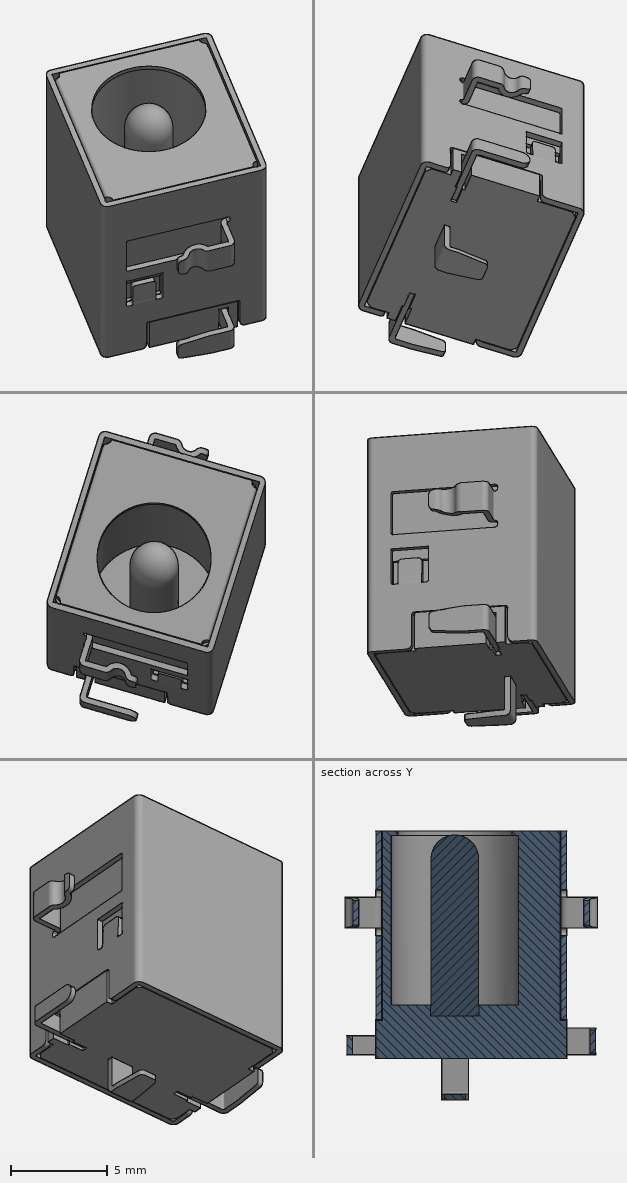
import cadquery as cq
import math

SHELL_X = 9.9
SHELL_Y = 9.0
SHELL_Z = 11.8
SHEET = 0.3
SHELL_CORNER = 0.35
WALL_X = SHELL_X / 2
WALL_INNER_X = WALL_X - SHEET
CUT_MARGIN = 0.07
WALL_CUT_X = (-WALL_X - CUT_MARGIN, -WALL_INNER_X + CUT_MARGIN)

CLIP_SPAN = 13.1
CLIP_Z = 7.56
CLIP_WIDTH = 1.6
CLIP_WINDOW_HEIGHT = 2.37
CLIP_WINDOW_Y_MIN = -3.2
CLIP_RELIEF_OVERRUN = 0.15
CLIP_RELIEF_RADIUS = 0.17
WINDOW_CORNER = 0.13
CLIP_ROOT_RADIUS = 0.04
CLIP_BEND_RADIUS = 0.01
DIMPLE_Y = 0.14
DIMPLE_HALF_LENGTH = 0.71
DIMPLE_DEPTH = 0.42
DIMPLE_RADIUS = 0.6
CLIP_TIP_WIDTH = 0.99
CLIP_TIP_RADIUS = 0.24

FOOT_BACK_Y = 2.26
FOOT_TIP_Y = -0.86

LATCH_Y = -2.2
LATCH_WINDOW_WIDTH = 1.98
LATCH_WINDOW_Z_MIN = 3.63
LATCH_WINDOW_Z_MAX = 5.6
TONGUE_WIDTH = 1.25
TONGUE_BEND_Z = 3.77
TONGUE_TOP_Z = 5.02
TONGUE_BEND_INSET = 0.01
TONGUE_TOP_INSET = 0.07
TONGUE_CORNER = 0.2

CUTOUT_Y_MIN = -2.1
CUTOUT_Y_MAX = 2.99
CUTOUT_HEIGHT = 2.02
CUTOUT_CORNER = 0.17
CUTOUT_FLARE = 0.28

HOUSING_GAP = 0.04
HOUSING_X = SHELL_X - 2 * (SHEET + HOUSING_GAP)
HOUSING_Y = SHELL_Y - 2 * (SHEET + HOUSING_GAP)
HOUSING_TOP_Z = SHELL_Z
HOUSING_CORNER = 0.27
TOP_EDGE_RADIUS = 0.2
CORNER_NOTCH_RADIUS = 0.33
CORNER_NOTCH_DEPTH = 0.5
BOSS_SIDE_GAP = 0.15
BOSS_TOP_GAP = 0.04
LATCH_POCKET_DEPTH = 0.2
SLOT_Y_MIN = 1.83
SLOT_Y_MAX = 2.36
SLOT_HEIGHT = 1.66
SLOT_DEPTH = 0.98

SOCKET_X = -0.85
SOCKET_Y = -0.14
MOUTH_RADIUS = 2.96
MOUTH_LIP = 0.25
SOCKET_RADIUS = 3.29
SOCKET_FLOOR_Z = 2.79
PIN_RADIUS = 1.25
PIN_RECESS = 0.2
PIN_TOP_Z = HOUSING_TOP_Z - PIN_RECESS
PIN_BOTTOM_Z = 2.23

TERMINAL_SPAN = 12.92
TERMINAL_BOTTOM_Z = 0.2
LEFT_TERMINAL_WIDTH = 0.99
WIDE_TERMINAL_WIDTH = 1.4
TERMINAL_BEND_RADIUS = 0.1
TERMINAL_END_X = 3.07
SIDE_ARM = TERMINAL_SPAN / 2 - TERMINAL_END_X
SIDE_FOOT = FOOT_BACK_Y - FOOT_TIP_Y
TERMINAL_TAPER_LENGTH = 1.79
TERMINAL_TIP_WIDTH = 1.03
TERMINAL_TIP_RADIUS = 0.24

BOTTOM_TERMINAL_X = -0.84
BOTTOM_TERMINAL_BACK_Y = 2.05
BOTTOM_TERMINAL_TIP_Y = -0.46
BOTTOM_TERMINAL_DROP = 2.15
BOTTOM_TERMINAL_TOP_Z = 1.4


def box(x_range, y_range, z_range):
    """Axis-aligned block given by its limits."""
    (x0, x1), (y0, y1), (z0, z1) = x_range, y_range, z_range
    return cq.Workplane("XY").box(x1 - x0, y1 - y0, z1 - z0, centered=False).translate((x0, y0, z0))


def around(centre, width):
    """Limits of a span of the given width about its centre."""
    return (centre - width / 2, centre + width / 2)


def mirror_x(body):
    return body.mirror("YZ")


def with_mirror_x(body):
    return body.union(mirror_x(body))


def tapered_foot(root, taper_start, tip, width, tip_width, tip_radius):
    """Closed outline of a strip along the first axis, narrowing to a round-cornered tip."""
    return (
        cq.Sketch()
        .polygon([
            (root, -width / 2),
            (taper_start, -width / 2),
            (tip, -tip_width / 2),
            (tip, tip_width / 2),
            (taper_start, width / 2),
            (root, width / 2),
            (root, -width / 2),
        ])
        .vertices("<X")
        .fillet(tip_radius)
    )



def clip():
    """Left board clip: leaves the wall, turns down -Y and has an inward dimple near its tip."""
    half = SHEET / 2
    root_bend = CLIP_ROOT_RADIUS + half
    foot_bend = CLIP_BEND_RADIUS + half
    root_x = -WALL_X + half
    root_y = FOOT_BACK_Y - half + root_bend
    arm_y = FOOT_BACK_Y - half
    foot_x = -CLIP_SPAN / 2 + half
    diagonal = math.sqrt(0.5)

    turn = 2 * math.atan(DIMPLE_DEPTH / DIMPLE_HALF_LENGTH)
    dimple_x = foot_x + DIMPLE_DEPTH
    dimple_centre_x = dimple_x - DIMPLE_RADIUS
    shoulder_radius = DIMPLE_HALF_LENGTH / math.sin(turn) - DIMPLE_RADIUS
    join_x = dimple_centre_x + DIMPLE_RADIUS * math.cos(turn)
    join_dy = DIMPLE_RADIUS * math.sin(turn)
    shoulder_x = foot_x + shoulder_radius * (1 - math.cos(turn / 2))
    shoulder_dy = DIMPLE_HALF_LENGTH - shoulder_radius * math.sin(turn / 2)

    path = (
        cq.Workplane("XY")
        .moveTo(root_x, root_y)
        .threePointArc(
            (root_x - root_bend * (1 - diagonal), root_y - root_bend * diagonal),
            (root_x - root_bend, arm_y),
        )
        .lineTo(foot_x + foot_bend, arm_y)
        .threePointArc(
            (foot_x + foot_bend * (1 - diagonal), arm_y - foot_bend * (1 - diagonal)),
            (foot_x, arm_y - foot_bend),
        )
        .lineTo(foot_x, DIMPLE_Y + DIMPLE_HALF_LENGTH)
        .threePointArc((shoulder_x, DIMPLE_Y + shoulder_dy), (join_x, DIMPLE_Y + join_dy))
        .threePointArc((dimple_x, DIMPLE_Y), (join_x, DIMPLE_Y - join_dy))
        .threePointArc((shoulder_x, DIMPLE_Y - shoulder_dy), (foot_x, DIMPLE_Y - DIMPLE_HALF_LENGTH))
        .lineTo(foot_x, FOOT_TIP_Y)
    )
    strip = cq.Workplane("XZ", origin=(root_x, root_y, 0)).rect(SHEET, CLIP_WIDTH).sweep(path)
    outline = tapered_foot(
        root_y, DIMPLE_Y + DIMPLE_HALF_LENGTH, FOOT_TIP_Y, CLIP_WIDTH, CLIP_TIP_WIDTH, CLIP_TIP_RADIUS
    )
    blank = cq.Workplane("YZ").placeSketch(outline).extrude(CLIP_SPAN, both=True)
    return strip.intersect(blank).translate((0, 0, CLIP_Z))


def clip_window():
    """Opening left by the clip, with a rounded relief on each side of its root."""
    root_y = FOOT_BACK_Y + CLIP_ROOT_RADIUS
    window = box(WALL_CUT_X, (CLIP_WINDOW_Y_MIN, root_y), around(CLIP_Z, CLIP_WINDOW_HEIGHT))
    window = window.edges("|X and <Y").fillet(WINDOW_CORNER)
    relief_height = (CLIP_WINDOW_HEIGHT - CLIP_WIDTH) / 2
    relief_offset = (CLIP_WIDTH + relief_height) / 2
    for side in (-1, 1):
        relief = box(
            WALL_CUT_X,
            (root_y - 2 * relief_height, root_y + CLIP_RELIEF_OVERRUN),
            around(CLIP_Z + side * relief_offset, relief_height),
        )
        window = window.union(relief.edges("|X and >Y").fillet(CLIP_RELIEF_RADIUS))
    return window


def latch_tongue():
    """Left latch tongue: a tab tied to the wall at its bottom and leaning into the housing."""
    profile = [
        (-WALL_X, LATCH_WINDOW_Z_MIN),
        (-WALL_X + TONGUE_BEND_INSET, TONGUE_BEND_Z),
        (-WALL_X + TONGUE_TOP_INSET, TONGUE_TOP_Z),
        (-WALL_INNER_X + TONGUE_TOP_INSET, TONGUE_TOP_Z),
        (-WALL_INNER_X + TONGUE_BEND_INSET, TONGUE_BEND_Z),
        (-WALL_INNER_X, LATCH_WINDOW_Z_MIN),
    ]
    tongue = cq.Workplane("XZ", origin=(0, LATCH_Y, 0)).polyline(profile).close()
    tongue = tongue.extrude(TONGUE_WIDTH / 2, both=True)
    return tongue.faces(">Z").edges("|X").fillet(TONGUE_CORNER)


def latch_opening():
    """Window for the latch: the tongue's own area, framed by slots with rounded lower corners."""
    z_range = (LATCH_WINDOW_Z_MIN, LATCH_WINDOW_Z_MAX)
    window = box(WALL_CUT_X, around(LATCH_Y, LATCH_WINDOW_WIDTH), z_range)
    tongue_area = box(WALL_CUT_X, around(LATCH_Y, TONGUE_WIDTH), (LATCH_WINDOW_Z_MIN, TONGUE_TOP_Z))
    slots = window.cut(tongue_area).edges("|X and <Z").fillet(WINDOW_CORNER)
    return slots.union(tongue_area)


def terminal_cutout():
    """Opening at the bottom edge of the left wall, with flared lower corners."""
    bend = CUTOUT_FLARE * (1 - math.sqrt(0.5))
    outline = (
        cq.Workplane("YZ", origin=(-WALL_X - CUT_MARGIN, 0, 0))
        .moveTo(CUTOUT_Y_MIN - CUTOUT_FLARE, 0)
        .threePointArc((CUTOUT_Y_MIN - bend, bend), (CUTOUT_Y_MIN, CUTOUT_FLARE))
        .lineTo(CUTOUT_Y_MIN, CUTOUT_HEIGHT)
        .lineTo(CUTOUT_Y_MAX, CUTOUT_HEIGHT)
        .lineTo(CUTOUT_Y_MAX, CUTOUT_FLARE)
        .threePointArc((CUTOUT_Y_MAX + bend, bend), (CUTOUT_Y_MAX + CUTOUT_FLARE, 0))
        .close()
    )
    return outline.extrude(SHEET + 2 * CUT_MARGIN).faces(">Z").edges("|X").fillet(CUTOUT_CORNER)


def make_shell():
    tube = cq.Workplane("XY").rect(SHELL_X, SHELL_Y).extrude(SHELL_Z)
    tube = tube.edges("|Z").fillet(SHELL_CORNER)
    bore = cq.Workplane("XY").rect(SHELL_X - 2 * SHEET, SHELL_Y - 2 * SHEET).extrude(SHELL_Z)
    bore = bore.edges("|Z").fillet(SHELL_CORNER - SHEET)
    shell = tube.cut(bore)
    for opening in (clip_window(), latch_opening(), terminal_cutout()):
        shell = shell.cut(with_mirror_x(opening))
    for tab in (clip(), latch_tongue()):
        shell = shell.union(tab).union(mirror_x(tab))
    return shell



def bent_strip(arm_length, foot_length, width):
    """L-shaped strip: outer corner at the origin, arm along +X, foot along -Y, width centred on Z."""
    strip = (
        cq.Workplane("XY")
        .polyline([
            (0, 0),
            (arm_length, 0),
            (arm_length, -SHEET),
            (SHEET, -SHEET),
            (SHEET, -foot_length),
            (0, -foot_length),
        ])
        .close()
        .extrude(width / 2, both=True)
    )
    inner_corner = cq.selectors.NearestToPointSelector((SHEET, -SHEET, 0))
    outer_corner = cq.selectors.NearestToPointSelector((0, 0, 0))
    strip = strip.edges("|Z").edges(inner_corner).fillet(TERMINAL_BEND_RADIUS)
    return strip.edges("|Z").edges(outer_corner).fillet(SHEET)


def wide_strip(arm_length, foot_length):
    """Wide bent strip whose foot tapers to a round-cornered tip."""
    outline = tapered_foot(
        0,
        TERMINAL_TAPER_LENGTH - foot_length,
        -foot_length,
        WIDE_TERMINAL_WIDTH,
        TERMINAL_TIP_WIDTH,
        TERMINAL_TIP_RADIUS,
    )
    blank = cq.Workplane("YZ").placeSketch(outline).extrude(arm_length)
    return bent_strip(arm_length, foot_length, WIDE_TERMINAL_WIDTH).intersect(blank)


def narrow_strip(arm_length, foot_length):
    """Narrow bent strip whose foot ends in a half circle."""
    tip_radius = LEFT_TERMINAL_WIDTH / 2
    outline = (
        cq.Workplane("YZ")
        .moveTo(0, tip_radius)
        .lineTo(tip_radius - foot_length, tip_radius)
        .threePointArc((-foot_length, 0), (tip_radius - foot_length, -tip_radius))
        .lineTo(0, -tip_radius)
        .close()
    )
    return bent_strip(arm_length, foot_length, LEFT_TERMINAL_WIDTH).intersect(outline.extrude(arm_length))


def place_on_left(strip, width):
    return strip.translate((-TERMINAL_SPAN / 2, FOOT_BACK_Y, TERMINAL_BOTTOM_Z + width / 2))


def make_left_terminal():
    return place_on_left(narrow_strip(SIDE_ARM, SIDE_FOOT), LEFT_TERMINAL_WIDTH)


def make_right_terminal():
    return mirror_x(place_on_left(wide_strip(SIDE_ARM, SIDE_FOOT), WIDE_TERMINAL_WIDTH))


def make_bottom_terminal():
    strip = wide_strip(
        BOTTOM_TERMINAL_DROP + BOTTOM_TERMINAL_TOP_Z, BOTTOM_TERMINAL_BACK_Y - BOTTOM_TERMINAL_TIP_Y
    )
    upright = strip.rotate((0, 0, 0), (0, 1, 0), -90)
    return upright.translate((BOTTOM_TERMINAL_X, BOTTOM_TERMINAL_BACK_Y, -BOTTOM_TERMINAL_DROP))



def make_pin():
    """Centre pin with a hemispherical tip."""
    shank_top = PIN_TOP_Z - PIN_RADIUS
    profile = (
        cq.Workplane("XZ")
        .moveTo(0, PIN_BOTTOM_Z)
        .lineTo(PIN_RADIUS, PIN_BOTTOM_Z)
        .lineTo(PIN_RADIUS, shank_top)
        .radiusArc((0, PIN_TOP_Z), -PIN_RADIUS)
        .close()
    )
    return profile.revolve(360, (0, 0, 0), (0, 1, 0)).translate((SOCKET_X, SOCKET_Y, 0))



def housing_block():
    """Block with chamfered corners, rounded top edges on the Y faces and a scalloped notch per corner."""
    block = cq.Workplane("XY").rect(HOUSING_X, HOUSING_Y).extrude(HOUSING_TOP_Z)
    block = block.edges("|Z").chamfer(HOUSING_CORNER)
    block = block.faces(">Z").edges("|X").fillet(TOP_EDGE_RADIUS)
    notches = (
        cq.Workplane("XY", origin=(0, 0, HOUSING_TOP_Z - CORNER_NOTCH_DEPTH))
        .rect(HOUSING_X, HOUSING_Y, forConstruction=True)
        .vertices()
        .circle(CORNER_NOTCH_RADIUS)
        .extrude(CORNER_NOTCH_DEPTH)
    )
    return block.cut(notches)


def terminal_boss():
    """Left boss that fills the shell cutout, flush with the wall outside."""
    return box(
        (-WALL_X, -HOUSING_X / 2),
        (CUTOUT_Y_MIN + BOSS_SIDE_GAP, CUTOUT_Y_MAX - BOSS_SIDE_GAP),
        (0, CUTOUT_HEIGHT - BOSS_TOP_GAP),
    )


def terminal_slot():
    """Slot around the left terminal arm, open at the bottom."""
    return box((-WALL_X, -WALL_X + SLOT_DEPTH), (SLOT_Y_MIN, SLOT_Y_MAX), (0, SLOT_HEIGHT))


def terminal_channel():
    """Open channel below the left terminal arm, through which the arm is pushed in from the bottom."""
    return box(
        (-WALL_X, -TERMINAL_END_X), (FOOT_BACK_Y - SHEET, FOOT_BACK_Y), (0, TERMINAL_BOTTOM_Z)
    )


def latch_pocket():
    """Left recess behind the latch window; its upper ledge stops the tongue."""
    return box(
        (-HOUSING_X / 2, -HOUSING_X / 2 + LATCH_POCKET_DEPTH),
        around(LATCH_Y, LATCH_WINDOW_WIDTH),
        (LATCH_WINDOW_Z_MIN, TONGUE_TOP_Z),
    )


def plug_socket():
    """Round cavity, wider below the lip at its mouth."""
    depth = HOUSING_TOP_Z - SOCKET_FLOOR_Z
    floor = cq.Workplane("XY", origin=(SOCKET_X, SOCKET_Y, SOCKET_FLOOR_Z))
    cavity = floor.circle(SOCKET_RADIUS).extrude(depth - MOUTH_LIP)
    mouth = floor.circle(MOUTH_RADIUS).extrude(depth)
    return cavity.union(mouth)


def make_housing(inserts):
    """Housing with a matching hole for each body set into it."""
    housing = housing_block().union(with_mirror_x(terminal_boss()))
    for recess in (terminal_slot(), terminal_channel(), latch_pocket()):
        housing = housing.cut(with_mirror_x(recess))
    housing = housing.cut(plug_socket())
    for insert in inserts:
        housing = housing.cut(insert)
    return housing


shell = make_shell()
pin = make_pin()
left_terminal = make_left_terminal()
right_terminal = make_right_terminal()
bottom_terminal = make_bottom_terminal()
housing = make_housing([pin, left_terminal, right_terminal, bottom_terminal])

result = cq.Compound.makeCompound([
    shell.val(),
    housing.val(),
    pin.val(),
    left_terminal.val(),
    right_terminal.val(),
    bottom_terminal.val(),
])